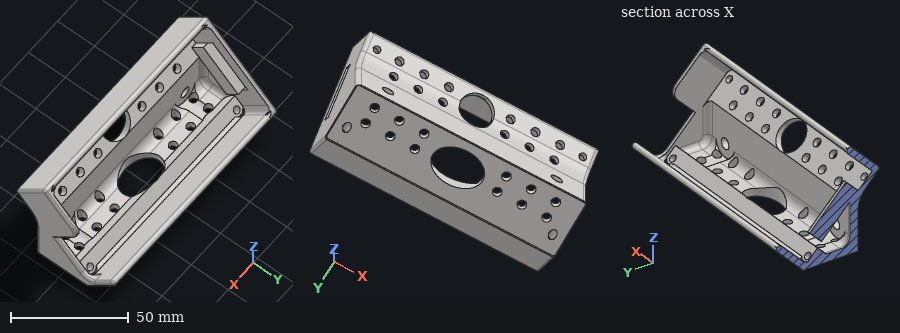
import cadquery as cq
import math

LENGTH = 111.8
BASE_DEPTH = 28.45
WALL = 3.0
SIDE_WALL = 2.6
FLOOR = 4.0
FRONT_WALL = 4.0
HALF = LENGTH / 2
INNER_HALF = HALF - SIDE_WALL

TILT = 45.0
ROOT2 = math.sqrt(2)
BACK_ALONG = -BASE_DEPTH / ROOT2
TIP_ALONG = 34.56
RIM_OUT = 40.84
SHELF_OUT = 18.2
NECK_RADIUS = 14.0

EDGE_RADIUS = WALL / 2
END_RADIUS = 1.2
FRONT_END_RADIUS = 2.0
BASE_CHAMFER = 0.4

BACK_INNER = BACK_ALONG + WALL
TIP_INNER = TIP_ALONG - WALL
SHELF_INNER = SHELF_OUT + WALL
CORNER_RADIUS = 2.8
WELL_ALONG = -8.73
WELL_FRONT_RADIUS = 5.0

GRID_PITCH = 12.0
ROW_PITCH = 8.0
HOLES_PER_SIDE = 3
ROWS = 2
SMALL_HOLE = 4.0
SHELF_FIRST_X = 15.0
SHELF_ROW_ALONG = 27.4
BASE_FIRST_X = 20.0
BASE_ROW_Y = 14.2
PORT_DIAMETER = 16.02
PORT_ALONG = SHELF_ROW_ALONG - ROW_PITCH / 2
OVAL_LENGTH = 24.2
OVAL_WIDTH = 17.0
OVAL_Y = 12.8

COVER_SCREW_X = 50.0
COVER_SCREW_HOLE = 3.4
COVER_SCREW_HEAD = 6.0
LOWER_SCREW_ALONG = -13.9

MOUNT_X = 41.0
MOUNT_Z = 9.8
MOUNT_HOLE = 5.4
MOUNT_RECESS = 13.5

SLOT_START = -5.6
SLOT_LENGTH = 26.7
SLOT_END = SLOT_START + SLOT_LENGTH
SLOT_OUT = 30.1
SLOT_HEIGHT = 4.1
SLOT_BLOCK_DEPTH = 2.8

NOTCH_OUT = 22.75
NOTCH_END = 7.5
NOTCH_START = INNER_HALF - CORNER_RADIUS
NOTCH_RADIUS = 5.0

CLEAR = 10.0


def yz(along, out):
    """Convert tilted coordinates to (Y, Z)."""
    return ((out - along) / ROOT2, (out + along) / ROOT2)


def extrude_x(profile, start, end):
    """Extrude a YZ profile from X = start to X = end."""
    return profile.extrude(end - start).translate((start, 0, 0))


def tilted_box(start, end, along_0, along_1, out_0, out_1):
    corners = [(along_0, out_0), (along_1, out_0), (along_1, out_1), (along_0, out_1)]
    profile = cq.Workplane("YZ").polyline([yz(*corner) for corner in corners]).close()
    return extrude_x(profile, start, end)


def tilted_cylinder(x, along, diameter, out_0, out_1):
    """Cylinder running square to the open face."""
    y, z = yz(along, out_0)
    return cq.Workplane(cq.Solid.makeCylinder(
        diameter / 2, out_1 - out_0, cq.Vector(x, y, z), cq.Vector(0, 1, 1)))


def x_cylinder(start, end, along, out, radius):
    y, z = yz(along, out)
    return cq.Workplane(cq.Solid.makeCylinder(
        radius, end - start, cq.Vector(start, y, z), cq.Vector(1, 0, 0)))


def near(along, out, x=0.0):
    return cq.selectors.NearestToPointSelector((x, *yz(along, out)))


BEND_Y = -NECK_RADIUS
BEND_Z = (SHELF_OUT - NECK_RADIUS) * ROOT2 + NECK_RADIUS


def bend_point(degrees):
    angle = math.radians(degrees)
    return (BEND_Y + NECK_RADIUS * math.cos(angle), BEND_Z + NECK_RADIUS * math.sin(angle))


def outline():
    """Outer YZ profile with sharp corners."""
    return (
        cq.Workplane("YZ")
        .lineTo(0, BEND_Z)
        .threePointArc(bend_point(TILT / 2), bend_point(TILT))
        .lineTo(*yz(TIP_ALONG, SHELF_OUT))
        .lineTo(*yz(TIP_ALONG, RIM_OUT))
        .lineTo(*yz(BACK_ALONG, RIM_OUT))
        .lineTo(BASE_DEPTH, 0)
        .close()
    )


def outer_body():
    """Solid exterior, with the open notch already cut so its outer edge is rounded too."""
    sharp = extrude_x(outline(), -HALF, HALF)
    body = sharp
    for out in (SHELF_OUT, RIM_OUT):
        body = body.edges(near(TIP_ALONG, out)).fillet(EDGE_RADIUS)
    body = body.cut(end_notch())
    body = body.cut(back_rim_rounding())
    end_edges = ((0, RIM_OUT, -HALF), (TIP_INNER - WALL, RIM_OUT, HALF), (0, NOTCH_OUT, HALF))
    for along, out, end in end_edges:
        body = body.edges(near(along, out, end)).fillet(END_RADIUS)
    soft_front = sharp
    for end in (-HALF, HALF):
        front_edge = cq.selectors.NearestToPointSelector((end, 0, BEND_Z / 2))
        soft_front = soft_front.edges(front_edge).fillet(FRONT_END_RADIUS)
    body = body.faces("<Z").edges().chamfer(BASE_CHAMFER)
    return body.intersect(soft_front)


def rounded_box(along_0, along_1):
    """Tilted box between the end walls, with its corner edges rounded."""
    top_out = RIM_OUT + CLEAR
    box = tilted_box(-INNER_HALF, INNER_HALF, along_0, along_1, SHELF_INNER, top_out)
    for x in (-INNER_HALF, INNER_HALF):
        for along in (along_0, along_1):
            box = box.edges(near(along, (SHELF_INNER + top_out) / 2, x)).fillet(CORNER_RADIUS)
    return box


def box_cavity():
    """Tilted box behind the open face, cut off level at the floor."""
    below_floor = cq.Workplane("XY").box(LENGTH, 2 * BASE_DEPTH, FLOOR, centered=(True, False, False))
    return rounded_box(BACK_INNER, TIP_INNER).cut(below_floor)


def round_off(block, middle):
    """Keep only the part of a rim block outside the full-round of a wall centred on middle."""
    far = HALF + CLEAR
    return block.cut(x_cylinder(-far, far, middle, RIM_OUT - EDGE_RADIUS, EDGE_RADIUS))


def inner_rim_block(middle, inner_along):
    """Inner half of a wall's rim, dying into the rounded interior corners."""
    block = tilted_box(-INNER_HALF, INNER_HALF, middle, inner_along, RIM_OUT - EDGE_RADIUS, RIM_OUT)
    return block.intersect(rounded_box(BACK_ALONG + WALL / 2, TIP_ALONG - WALL / 2))


def back_rim_rounding():
    """Full-round top of the lower wall, running out through the open +X end."""
    far = HALF + CLEAR
    middle = BACK_ALONG + WALL / 2
    round_out = RIM_OUT - EDGE_RADIUS
    block = inner_rim_block(middle, BACK_INNER)
    block = block.union(tilted_box(-far, far, BACK_ALONG, middle, round_out, RIM_OUT))
    block = block.union(tilted_box(0, far, middle, BACK_INNER, round_out, RIM_OUT))
    return round_off(block, middle)


def tip_rim_rounding():
    """Inner half of the upper wall's full-round top; the outer half is an edge fillet."""
    middle = TIP_ALONG - WALL / 2
    return round_off(inner_rim_block(middle, TIP_INNER), middle)


def well_profile():
    """YZ profile of the space inside the foot, reaching up into the tilted box."""
    lap_out = SHELF_INNER + WALL
    front_top_along = SHELF_INNER - FRONT_WALL * ROOT2
    return (
        cq.Workplane("YZ")
        .moveTo(FLOOR - WELL_ALONG * ROOT2, FLOOR)
        .lineTo(FRONT_WALL + WELL_FRONT_RADIUS, FLOOR)
        .radiusArc((FRONT_WALL, FLOOR + WELL_FRONT_RADIUS), WELL_FRONT_RADIUS)
        .lineTo(*yz(front_top_along, SHELF_INNER))
        .lineTo(*yz(front_top_along, lap_out))
        .lineTo(*yz(WELL_ALONG, lap_out))
        .close()
    )


def well_cavity():
    well = extrude_x(well_profile(), -INNER_HALF, INNER_HALF)
    for x in (-INNER_HALF, INNER_HALF):
        floor_edge = cq.selectors.NearestToPointSelector((x, BASE_DEPTH / 2, FLOOR))
        well = well.edges(floor_edge).fillet(CORNER_RADIUS)
    return well


def washer_recess(x):
    """Washer clearance behind a front mounting hole, stopped by the plane of the well's lower wall."""
    recess = cq.Workplane(cq.Solid.makeCylinder(
        MOUNT_RECESS / 2, BASE_DEPTH, cq.Vector(x, FRONT_WALL, MOUNT_Z), cq.Vector(0, 1, 0)))
    keep = tilted_box(-LENGTH, LENGTH, WELL_ALONG, TIP_ALONG, -RIM_OUT, SHELF_INNER)
    return recess.intersect(keep)


def end_notch():
    """Open notch through the +X wall, next to the lower wall."""
    start = NOTCH_START
    end = HALF + CLEAR
    notch = tilted_box(start, end, BACK_INNER, NOTCH_END, NOTCH_OUT, RIM_OUT + CLEAR)
    notch = notch.edges(near(BACK_INNER, NOTCH_OUT, (start + end) / 2)).fillet(NOTCH_RADIUS)
    lip_end = NOTCH_END + NOTCH_RADIUS
    lip_out = RIM_OUT - NOTCH_RADIUS
    lip = tilted_box(start, end, NOTCH_END, lip_end, lip_out, RIM_OUT)
    lip = lip.cut(x_cylinder(start, end, lip_end, lip_out, NOTCH_RADIUS))
    return notch.union(lip)


def slot_block():
    """Block on the inside of the -X wall whose top continues the slot floor."""
    start = -INNER_HALF
    return tilted_box(start, start + SLOT_BLOCK_DEPTH, SLOT_START, SLOT_END, SHELF_INNER, SLOT_OUT)


def side_slot():
    return tilted_box(-HALF - CLEAR, -INNER_HALF, SLOT_START, SLOT_END, SLOT_OUT, SLOT_OUT + SLOT_HEIGHT)


def mirrored_grid(first_x):
    for column in range(HOLES_PER_SIDE):
        for side in (-1, 1):
            for row in range(ROWS):
                yield side * (first_x + column * GRID_PITCH), row * ROW_PITCH


def shelf_openings():
    """Holes and round port square through the tilted underside and the bend."""
    low = SHELF_OUT - CLEAR
    tool = tilted_cylinder(0, PORT_ALONG, PORT_DIAMETER, low, SHELF_INNER + WALL)
    for x, row_offset in mirrored_grid(SHELF_FIRST_X):
        tool = tool.union(tilted_cylinder(
            x, SHELF_ROW_ALONG - row_offset, SMALL_HOLE, low, SHELF_INNER + WALL))
    return tool


def base_openings():
    """Holes and oval opening straight down through the underside."""
    depth = FLOOR + WELL_FRONT_RADIUS
    points = [(x, BASE_ROW_Y - row_offset) for x, row_offset in mirrored_grid(BASE_FIRST_X)]
    holes = cq.Workplane("XY").pushPoints(points).circle(SMALL_HOLE / 2).extrude(depth)
    oval = cq.Workplane("XY").center(0, OVAL_Y).ellipse(OVAL_LENGTH / 2, OVAL_WIDTH / 2).extrude(depth)
    return holes.union(oval)


def cover_screws(x):
    lower = tilted_cylinder(x, LOWER_SCREW_ALONG, COVER_SCREW_HOLE, 0, SHELF_INNER)
    head = tilted_cylinder(x, LOWER_SCREW_ALONG, COVER_SCREW_HEAD, SHELF_INNER, RIM_OUT)
    upper = tilted_cylinder(x, SHELF_ROW_ALONG, COVER_SCREW_HOLE, SHELF_OUT - CLEAR, SHELF_INNER)
    return lower.union(head).union(upper)


def mount_hole(x):
    return cq.Workplane(cq.Solid.makeCylinder(
        MOUNT_HOLE / 2, CLEAR + FRONT_WALL, cq.Vector(x, -CLEAR, MOUNT_Z), cq.Vector(0, 1, 0)))


result = outer_body().cut(box_cavity()).cut(well_cavity())
result = result.union(slot_block()).cut(side_slot())
result = result.cut(tip_rim_rounding())
result = result.cut(shelf_openings()).cut(base_openings())
for side in (-1, 1):
    result = result.cut(cover_screws(side * COVER_SCREW_X))
    result = result.cut(washer_recess(side * MOUNT_X)).cut(mount_hole(side * MOUNT_X))